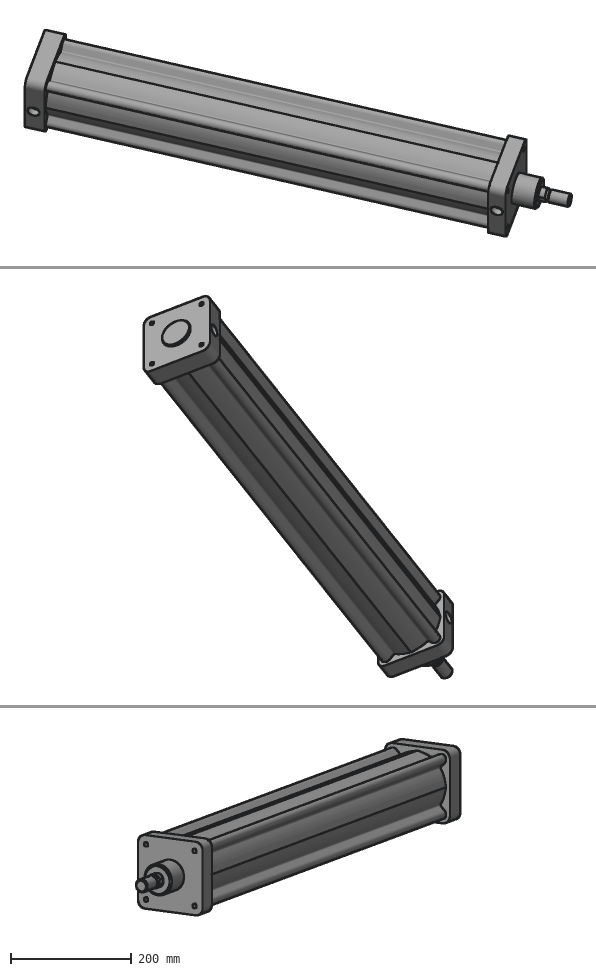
import cadquery as cq
import math

total_length = 931.0

cap_width = 126.0
cap_corner_radius = 14.0
rear_cap_length = 34.0
front_cap_length = 30.0
cap_screw_hole_radius = 4.0
cap_screw_hole_depth = 14.0
port_radius = 10.0
port_depth = 14.0
port_height = 8.0

boss_diameter = 53.0
boss_radius = boss_diameter / 2
rear_spigot_length = 4.0
rear_spigot_chamfer = 1.0
front_boss_length = 42.0
front_boss_chamfer = 3.0

barrel_diameter = 109.0
barrel_radius = barrel_diameter / 2
ridge_half_angle = 13.0
lobe_spacing = 94.0
lobe_radius = 8.6
root_fillet = 3.0

rod_radius = 12.0
rod_across_flats = 22.0
rod_shoulder_length = 11.0
rod_cone_length = 5.0
thread_radius = 11.0
thread_length = 36.0
thread_chamfer = 2.0
thread_root_radius = thread_radius - thread_chamfer

rear_cap_start = rear_spigot_length
barrel_start = rear_cap_start + rear_cap_length
thread_start = total_length - thread_length
shoulder_end = thread_start - rod_cone_length
boss_end = shoulder_end - rod_shoulder_length
front_cap_end = boss_end - front_boss_length
barrel_end = front_cap_end - front_cap_length

quarter_turn = 90
side_angles = [quarter_turn * i for i in range(4)]
corner_angle = 45.0


def section_at(x):
    """Workplane across the cylinder axis: local x is Y, local y is Z."""
    return cq.Workplane("YZ", origin=(x, 0, 0))


def disc(x_start, length, radius):
    return section_at(x_start).circle(radius).extrude(length)


def cap_block(x_start, length):
    block = section_at(x_start).rect(cap_width, cap_width).extrude(length)
    return block.edges("|X").fillet(cap_corner_radius)


def corner_holes(x_start, depth):
    """Blind screw holes in line with the barrel lobes."""
    return (
        section_at(x_start)
        .rect(lobe_spacing, lobe_spacing, forConstruction=True)
        .vertices()
        .circle(cap_screw_hole_radius)
        .extrude(depth)
    )


def port(x, z):
    """Blind air port in the -Y side of a cap."""
    opening = cq.Workplane("XZ", origin=(x, -cap_width / 2, z))
    return opening.circle(port_radius).extrude(-port_depth)


def make_rear_cap():
    spigot = disc(0, rear_spigot_length, boss_radius).faces("<X").chamfer(rear_spigot_chamfer)
    cap = cap_block(rear_cap_start, rear_cap_length).union(spigot)
    cap = cap.cut(corner_holes(rear_cap_start, cap_screw_hole_depth))
    return cap.cut(port(barrel_start / 2, -port_height))


def make_front_cap():
    boss = disc(front_cap_end, front_boss_length, boss_radius).faces(">X").chamfer(front_boss_chamfer)
    cap = cap_block(barrel_end, front_cap_length).union(boss)
    cap = cap.cut(corner_holes(front_cap_end, -cap_screw_hole_depth))
    cap = cap.cut(port(barrel_end + front_cap_length / 2, port_height))
    return cap.cut(rod_shank())


def polar(radius, angle, center=(0, 0)):
    """Point at an angle in degrees around a center."""
    turn = math.radians(angle)
    return (center[0] + radius * math.cos(turn), center[1] + radius * math.sin(turn))


def make_barrel():
    """Round profile with a low ridge along each side and a webbed round lobe at each corner."""
    ridge_radius = barrel_radius / math.cos(math.radians(ridge_half_angle))
    web_foot_angle = corner_angle - math.degrees(math.asin(lobe_radius / barrel_radius))
    arc_middle_angle = (ridge_half_angle + web_foot_angle) / 2
    lobe_distance = math.hypot(lobe_spacing, lobe_spacing) / 2

    outline = section_at(barrel_start).moveTo(*polar(barrel_radius, -web_foot_angle))
    for side in side_angles:
        corner = side + corner_angle
        lobe = polar(lobe_distance, corner)
        outline = (
            outline
            .threePointArc(
                polar(barrel_radius, side - arc_middle_angle),
                polar(barrel_radius, side - ridge_half_angle),
            )
            .lineTo(*polar(ridge_radius, side))
            .lineTo(*polar(barrel_radius, side + ridge_half_angle))
            .threePointArc(
                polar(barrel_radius, side + arc_middle_angle),
                polar(barrel_radius, side + web_foot_angle),
            )
            .lineTo(*polar(lobe_radius, corner - quarter_turn, lobe))
            .threePointArc(
                polar(lobe_radius, corner, lobe),
                polar(lobe_radius, corner + quarter_turn, lobe),
            )
            .lineTo(*polar(barrel_radius, side + quarter_turn - web_foot_angle))
        )
    profile = outline.close().extrude(barrel_end - barrel_start)

    barrel_middle = (barrel_start + barrel_end) / 2
    web_feet = [
        (barrel_middle, *polar(barrel_radius, side + sign * web_foot_angle))
        for side in side_angles
        for sign in (-1, 1)
    ]
    for foot in web_feet:
        profile = profile.edges(cq.selectors.NearestToPointSelector(foot)).fillet(root_fillet)
    return profile


def rod_shank():
    """Round rod from the barrel face to the end of the guide boss."""
    return disc(barrel_end, boss_end - barrel_end, rod_radius)


def make_rod():
    """Rod with two wrench flats outside the boss, a conical step and a plain threaded end."""
    shoulder = disc(boss_end, rod_shoulder_length, rod_radius)
    cone = section_at(shoulder_end).circle(rod_radius).workplane(offset=rod_cone_length)
    cone = cone.circle(thread_root_radius).loft()
    thread = disc(thread_start, thread_length, thread_radius)
    thread = thread.faces("<X or >X").chamfer(thread_chamfer)
    flats = cq.Workplane("XY").box(
        total_length - boss_end,
        rod_across_flats,
        2 * rod_radius,
        centered=(False, True, True),
    ).translate((boss_end, 0, 0))
    end = shoulder.union(cone).union(thread).intersect(flats)
    return rod_shank().union(end)


rear_cap = make_rear_cap()
barrel = make_barrel()
front_cap = make_front_cap()
rod = make_rod()

result = cq.Compound.makeCompound([rear_cap.val(), barrel.val(), front_cap.val(), rod.val()])